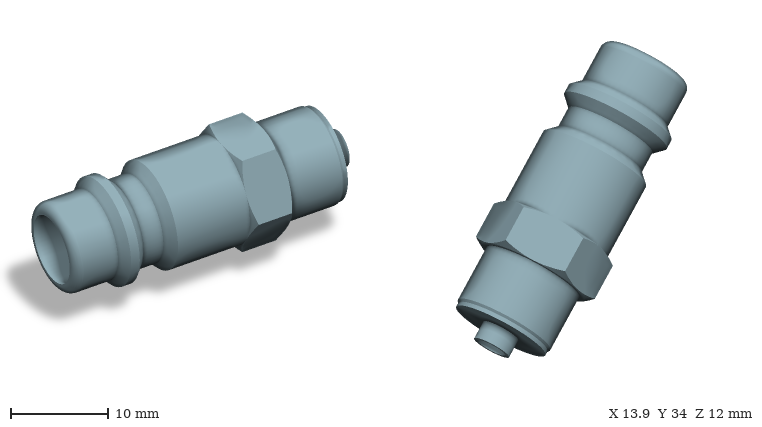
import cadquery as cq
import math

total_length = 34.0

body_diameter = 12.0
neck_diameter = 9.8
tip_diameter = 10.0
rear_diameter = 10.8
lip_diameter = 10.45
spigot_diameter = 4.08
bore_diameter = 7.5
passage_diameter = 3.2

collar_start = 5.0
collar_rim_start = 6.0
collar_rim_end = 7.0
neck_end = 10.4
hex_start = 20.0
hex_end = 25.0
rear_end = 31.28
lip_start = 31.55
lip_end = 32.0

tip_fillet = 1.0
hex_chamfer_angle = 30.0

body_radius = body_diameter / 2
neck_radius = neck_diameter / 2
tip_radius = tip_diameter / 2
rear_radius = rear_diameter / 2
lip_radius = lip_diameter / 2
spigot_radius = spigot_diameter / 2

flank_depth = body_radius - neck_radius
neck_start = collar_rim_end + flank_depth
body_start = neck_end + flank_depth

hex_corner_radius = body_radius / math.cos(math.radians(30))
hex_chamfer_length = (hex_corner_radius - body_radius) * math.tan(math.radians(hex_chamfer_angle))


def revolve_about_y(profile):
    return profile.close().revolve(360, (0, 0, 0), (0, 1, 0))


def cylinder_along_y(diameter, start, end):
    plane = cq.Workplane("XZ", origin=(0, start, 0))
    return plane.circle(diameter / 2).extrude(start - end)


def turned_body():
    arc_offset = tip_fillet * (1 - math.sqrt(0.5))
    profile = (
        cq.Workplane("XY")
        .lineTo(tip_radius - tip_fillet, 0)
        .threePointArc((tip_radius - arc_offset, arc_offset), (tip_radius, tip_fillet))
        .lineTo(tip_radius, collar_start)
        .lineTo(body_radius, collar_rim_start)
        .lineTo(body_radius, collar_rim_end)
        .lineTo(neck_radius, neck_start)
        .lineTo(neck_radius, neck_end)
        .lineTo(body_radius, body_start)
        .lineTo(body_radius, hex_start)
        .lineTo(rear_radius, hex_start)
        .lineTo(rear_radius, rear_end)
        .lineTo(lip_radius, lip_start)
        .lineTo(lip_radius, lip_end)
        .lineTo(spigot_radius, lip_end)
        .lineTo(spigot_radius, total_length)
        .lineTo(0, total_length)
    )
    return revolve_about_y(profile)


def chamfered_hexagon():
    prism = (
        cq.Workplane("XZ", origin=(0, hex_start, 0))
        .polygon(6, 2 * hex_corner_radius)
        .extrude(hex_start - hex_end)
    )
    envelope = revolve_about_y(
        cq.Workplane("XY")
        .moveTo(0, hex_start)
        .lineTo(body_radius, hex_start)
        .lineTo(hex_corner_radius, hex_start + hex_chamfer_length)
        .lineTo(hex_corner_radius, hex_end - hex_chamfer_length)
        .lineTo(body_radius, hex_end)
        .lineTo(0, hex_end)
    )
    return prism.intersect(envelope)


bore = cylinder_along_y(bore_diameter, 0, hex_start)
passage = cylinder_along_y(passage_diameter, 0, total_length)

result = turned_body().union(chamfered_hexagon()).cut(bore).cut(passage)